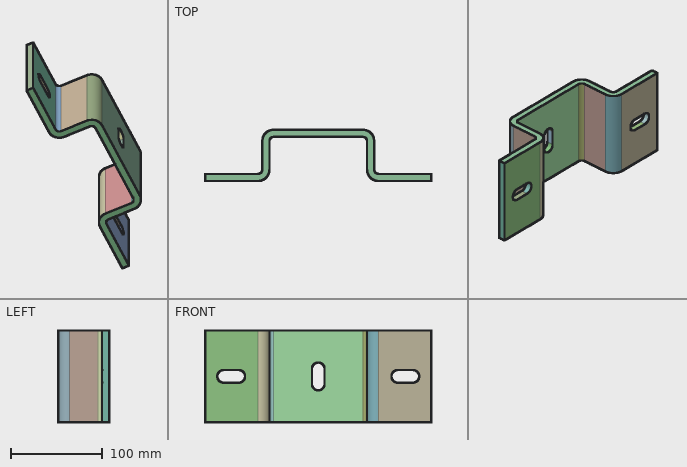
import cadquery as cq

overall_length = 246.0
overall_depth = 56.0
height = 100.0
thickness = 8.0
channel_width = 106.0
inner_bend_radius = 4.5

slot_length = 30.0
slot_width = 13.5
flange_slot_spacing = 189.5

outer_bend_radius = inner_bend_radius + thickness
half_length = overall_length / 2
wall_inner = channel_width / 2
wall_outer = wall_inner + thickness
flange_front = -overall_depth / 2
flange_back = flange_front + thickness
web_back = overall_depth / 2
web_front = web_back - thickness


def mirrored(points):
    """The given XY points on both sides of the X = 0 plane."""
    return [(side * x, y) for side in (-1, 1) for x, y in points]


def make_bent_sheet():
    """Hat-shaped sheet, bent at four corners and extruded along Z."""
    corners = [
        (-half_length, flange_front),
        (-wall_inner, flange_front),
        (-wall_inner, web_front),
        (wall_inner, web_front),
        (wall_inner, flange_front),
        (half_length, flange_front),
        (half_length, flange_back),
        (wall_outer, flange_back),
        (wall_outer, web_back),
        (-wall_outer, web_back),
        (-wall_outer, flange_back),
        (-half_length, flange_back),
    ]
    sheet = cq.Workplane("XY").polyline(corners).close().extrude(height / 2, both=True)
    inner_bends = mirrored([(wall_inner, web_front), (wall_outer, flange_back)])
    outer_bends = mirrored([(wall_outer, web_back), (wall_inner, flange_front)])
    sheet = round_bends(sheet, inner_bends, inner_bend_radius)
    return round_bends(sheet, outer_bends, outer_bend_radius)


def round_bends(sheet, corners, radius):
    """Fillet the vertical edges that stand on the given XY corners."""
    for x, y in corners:
        edge = sheet.edges(cq.NearestToPointSelector((x, y, 0)))
        sheet = edge.fillet(radius)
    return sheet


def slot_cutter(x, angle):
    """Through-slot along Y centred at x; angle 0 is lengthwise in X, 90 in Z."""
    return (
        cq.Workplane("XZ")
        .center(x, 0)
        .slot2D(slot_length, slot_width, angle)
        .extrude(overall_depth, both=True)
    )


result = make_bent_sheet()
for side in (-1, 1):
    result = result.cut(slot_cutter(side * flange_slot_spacing / 2, 0))
result = result.cut(slot_cutter(0, 90))